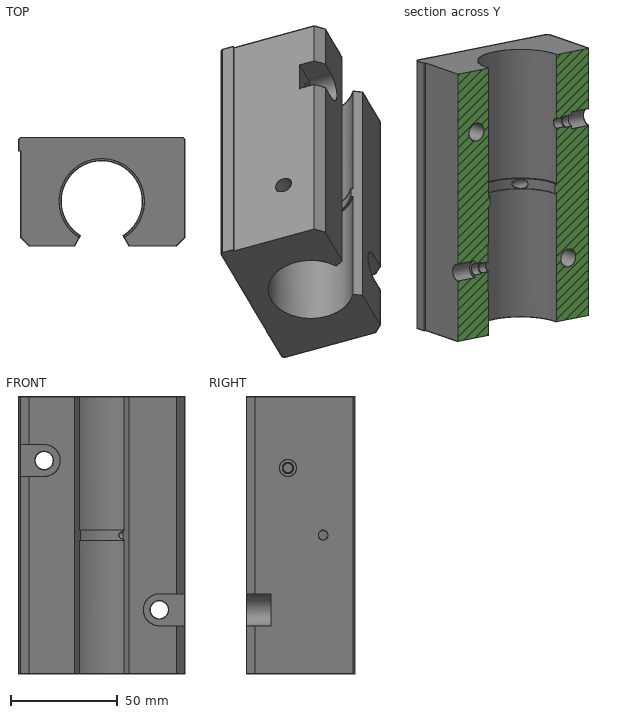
import cadquery as cq
import math

WIDTH = 78.0
DEPTH = 51.0
LENGTH = 130.0
LEFT = -WIDTH / 2
RIGHT = WIDTH / 2
FRONT = -DEPTH / 2
BACK = DEPTH / 2

LEDGE_STEP = 1.0
LEDGE_HEIGHT = 6.5
FRONT_CHAMFER = 4.0
BACK_CHAMFER = 1.0

BORE_DIAMETER = 40.0
BORE_Y = BACK - 30.0
RING_DIAMETER = 38.0
RING_LENGTH = 5.0
OPENING_FRONT_WIDTH = 25.6
OPENING_HALF_ANGLE = 30.0

MOUNT_X = 27.0
MOUNT_Z = 35.0
MOUNT_HOLE_DIAMETER = 8.5
RECESS_WIDTH = 15.0
RECESS_DEPTH = 11.5

SCREW_Y = BORE_Y - 1.5
SCREW_Z = 31.5
SCREW_ENTRY_DIAMETER = 8.0
SCREW_ENTRY_DEPTH = 10.0
SCREW_MIDDLE_DIAMETER = 5.3
SCREW_MIDDLE_DEPTH = 14.0
SCREW_TIP_DIAMETER = 4.5

LUBE_DIAMETER = 4.5
LUBE_Y = BACK - 15.0


def make_block():
    body_left = LEFT + LEDGE_STEP
    ledge_front = BACK - LEDGE_HEIGHT
    outline = [
        (body_left + FRONT_CHAMFER, FRONT),
        (RIGHT - FRONT_CHAMFER, FRONT),
        (RIGHT, FRONT + FRONT_CHAMFER),
        (RIGHT, BACK - BACK_CHAMFER),
        (RIGHT - BACK_CHAMFER, BACK),
        (LEFT + BACK_CHAMFER, BACK),
        (LEFT, BACK - BACK_CHAMFER),
        (LEFT, ledge_front),
        (body_left, ledge_front),
        (body_left, FRONT + FRONT_CHAMFER),
    ]
    return cq.Workplane("XY").polyline(outline).close().extrude(LENGTH / 2, both=True)


def z_cylinder(diameter, length):
    return cq.Workplane("XY").center(0, BORE_Y).circle(diameter / 2).extrude(length / 2, both=True)


def x_cylinder(diameter, y, z, start, end):
    plane = cq.Workplane("YZ", origin=(start, y, z))
    return plane.circle(diameter / 2).extrude(end - start)


def make_bore():
    ring = z_cylinder(BORE_DIAMETER, RING_LENGTH).cut(z_cylinder(RING_DIAMETER, RING_LENGTH))
    return z_cylinder(BORE_DIAMETER, LENGTH).cut(ring)


def make_opening():
    half_front = OPENING_FRONT_WIDTH / 2
    apex_rise = half_front / math.tan(math.radians(OPENING_HALF_ANGLE))
    outline = [(-half_front, FRONT), (half_front, FRONT), (0, FRONT + apex_rise)]
    return cq.Workplane("XY").polyline(outline).close().extrude(LENGTH / 2, both=True)


def make_mount(side):
    """Recess and through hole; side is -1 for the left one and 1 for the right one."""
    x = side * MOUNT_X
    z = -side * MOUNT_Z
    run_out = RIGHT - MOUNT_X
    plane = cq.Workplane("XZ", origin=(x, FRONT, z))
    round_end = plane.circle(RECESS_WIDTH / 2).extrude(-RECESS_DEPTH)
    straight = plane.center(side * run_out / 2, 0).rect(run_out, RECESS_WIDTH).extrude(-RECESS_DEPTH)
    hole = plane.circle(MOUNT_HOLE_DIAMETER / 2).extrude(-DEPTH)
    return straight.union(round_end).union(hole)


def make_screw_hole(side):
    """Stepped hole into the bore; side is -1 for the left one and 1 for the right one."""
    face = RIGHT if side > 0 else LEFT + LEDGE_STEP
    z = side * SCREW_Z
    entry = x_cylinder(SCREW_ENTRY_DIAMETER, SCREW_Y, z, face, face - side * SCREW_ENTRY_DEPTH)
    middle = x_cylinder(SCREW_MIDDLE_DIAMETER, SCREW_Y, z, face, face - side * SCREW_MIDDLE_DEPTH)
    tip = x_cylinder(SCREW_TIP_DIAMETER, SCREW_Y, z, face, 0)
    return entry.union(middle).union(tip)


def make_lube_hole():
    return x_cylinder(LUBE_DIAMETER, LUBE_Y, 0, 0, RIGHT)


result = make_block().cut(make_opening()).cut(make_bore()).cut(make_lube_hole())
for side in (-1, 1):
    result = result.cut(make_mount(side)).cut(make_screw_hole(side))